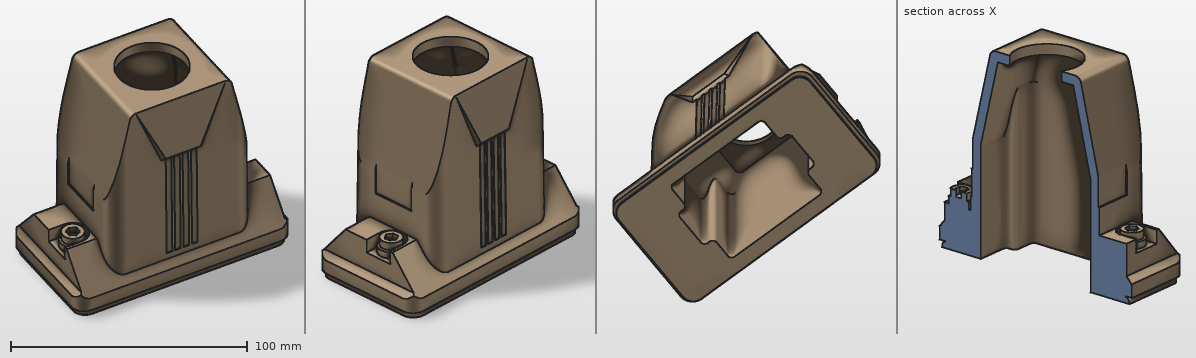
import cadquery as cq
import math

LENGTH = 105.0
WIDTH = 57.0
HEIGHT = 96.8

LIP_LENGTH = 102.3
LIP_WIDTH = 54.8
LIP_HEIGHT = 3.1
LIP_ROUND = 2.3
LIP_CORNER_RADIUS = 5.7

FLANGE_CORNER_RADIUS = 6.3
FLANGE_SIDE_TOP = 9.7
ROOF_TOP = 27.3
ROOF_TOP_WIDTH = 27.5
END_CHAMFER_BOTTOM = 9.5
END_CHAMFER_TOP = 12.5
ROOF_LENGTH = 99.5

HOOD_LENGTH = 70.0
HOOD_TOP_WIDTH = 48.2
SIDE_DRAFT_ANGLE = 1.0
SIDE_DRAFT = math.tan(math.radians(SIDE_DRAFT_ANGLE))
HOOD_BASE = 6.3
HOOD_CORNER_RADIUS = 7.3
SLOPE_START = 51.0
SLOPE_TOP_LENGTH = 48.7
TOP_EDGE_RADIUS = 3.6

ENTRY_DIAMETER = 32.0
TOP_WALL = 4.9
CAVITY_WIDTH = 42.0
CAVITY_TOP_LENGTH = 40.9
CAVITY_CORNER_RADIUS = 2.1
COLUMN_TOP = 73.5
COLUMN_GAP = 18.3

LABEL_WIDTH = 21.2
LABEL_BOTTOM = 40.0
LABEL_TOP = 57.7
LABEL_DEPTH = 0.6

WEDGE_TOP = 95.6
WEDGE_TOP_HALF = 21.6
WEDGE_TIP = 68.2
WEDGE_TIP_HALF = 8.5
WEDGE_TIP_X = 26.1
WEDGE_UNDERCUT = 2.1
WEDGE_FLARE = 1.8
GROOVE_COUNT = 4
GROOVE_WIDTH = 2.7
GROOVE_ROW_WIDTH = 15.1
GROOVE_PITCH = (GROOVE_ROW_WIDTH - GROOVE_WIDTH) / (GROOVE_COUNT - 1)
GROOVE_BOTTOM = 16.3
GROOVE_DEPTH = 0.4

SCREW_X = 5.5
SCREW_Y = -41.9
SEAT_WIDTH = 13.8
SEAT_FLOOR = 21.0
COLLAR_DIAMETER = 12.1
COLLAR_TOP = 24.6
COLLAR_CONE_HEIGHT = 0.4
HEAD_DIAMETER = 10.1
HEAD_TOP = 28.1
SOCKET_FLATS = 5.1
SOCKET_DEPTH = 3.1


def hood_half_width(z):
    """Half width of the drafted hood at height z."""
    return HOOD_TOP_WIDTH / 2 + (HEIGHT - z) * SIDE_DRAFT


def end_profile(points, width):
    """Mirror (y, z) points about Y = 0 and extrude the outline across X."""
    mirrored = [(-y, z) for y, z in reversed(points)]
    return cq.Workplane("YZ").polyline(points + mirrored).close().extrude(width / 2, both=True)


def side_profile(points, length):
    """Mirror (x, z) points about X = 0 and extrude the outline along Y."""
    mirrored = [(-x, z) for x, z in reversed(points)]
    return cq.Workplane("XZ").polyline(points + mirrored).close().extrude(length / 2, both=True)


def half_turn(shape):
    """Copy a shape to the opposite side, turned about the Z axis."""
    return shape.rotate((0, 0, 0), (0, 0, 1), 180)


def make_lip():
    lip = cq.Workplane("XY").rect(LIP_WIDTH, LIP_LENGTH).extrude(LIP_HEIGHT)
    lip = lip.edges("|Z").fillet(LIP_CORNER_RADIUS)
    return lip.faces(">Z").edges().fillet(LIP_ROUND)


def make_flange():
    footprint = (
        cq.Workplane("XY", origin=(0, 0, LIP_HEIGHT))
        .rect(WIDTH, LENGTH)
        .extrude(ROOF_TOP - LIP_HEIGHT)
        .edges("|Z")
        .fillet(FLANGE_CORNER_RADIUS)
    )
    roof = side_profile(
        [
            (WIDTH / 2, LIP_HEIGHT),
            (WIDTH / 2, FLANGE_SIDE_TOP),
            (ROOF_TOP_WIDTH / 2, ROOF_TOP),
        ],
        LENGTH,
    )
    stepped_ends = end_profile(
        [
            (LENGTH / 2, LIP_HEIGHT),
            (LENGTH / 2, END_CHAMFER_BOTTOM),
            (ROOF_LENGTH / 2, END_CHAMFER_TOP),
            (ROOF_LENGTH / 2, ROOF_TOP),
        ],
        WIDTH,
    )
    return footprint.intersect(roof).intersect(stepped_ends)


def make_screw_seat():
    """Round-ended slot that runs out through the end of the roof."""
    depth = ROOF_TOP - SEAT_FLOOR
    run_out = LENGTH / 2 + SCREW_Y
    plane = cq.Workplane("XY", origin=(SCREW_X, SCREW_Y, SEAT_FLOOR))
    round_end = plane.circle(SEAT_WIDTH / 2).extrude(depth)
    channel = plane.center(0, -run_out / 2).rect(SEAT_WIDTH, run_out).extrude(depth)
    return round_end.union(channel)


def make_screw():
    """Socket-head screw standing on a collar with a slightly conical top."""
    cone_base = COLLAR_TOP - COLLAR_CONE_HEIGHT
    screw = (
        cq.Workplane("XZ")
        .moveTo(0, SEAT_FLOOR)
        .lineTo(COLLAR_DIAMETER / 2, SEAT_FLOOR)
        .lineTo(COLLAR_DIAMETER / 2, cone_base)
        .lineTo(HEAD_DIAMETER / 2, COLLAR_TOP)
        .lineTo(HEAD_DIAMETER / 2, HEAD_TOP)
        .lineTo(0, HEAD_TOP)
        .close()
        .revolve(360, (0, 0, 0), (0, 1, 0))
    )
    socket_corners = SOCKET_FLATS / math.cos(math.radians(30))
    socket = (
        cq.Workplane("XY", origin=(0, 0, HEAD_TOP - SOCKET_DEPTH))
        .polygon(6, socket_corners)
        .extrude(SOCKET_DEPTH)
    )
    return screw.cut(socket).translate((SCREW_X, SCREW_Y, 0))


def make_hood():
    hood = side_profile(
        [
            (hood_half_width(HOOD_BASE), HOOD_BASE),
            (hood_half_width(HEIGHT), HEIGHT),
        ],
        HOOD_LENGTH,
    )
    upright_edges = hood.faces("<Y or >Y").edges("not |X")
    hood = upright_edges.fillet(HOOD_CORNER_RADIUS)
    envelope = end_profile(
        [
            (HOOD_LENGTH / 2, HOOD_BASE),
            (HOOD_LENGTH / 2, SLOPE_START),
            (SLOPE_TOP_LENGTH / 2, HEIGHT),
        ],
        WIDTH,
    )
    envelope = envelope.faces(">Z").edges("|X").fillet(TOP_EDGE_RADIUS)
    return hood.intersect(envelope)


def make_label_recess():
    """Flat recess on the -Y end that runs out upward through the sloped face."""
    corner = cq.Workplane("XY", origin=(0, -HOOD_LENGTH / 2, LABEL_BOTTOM))
    height = LABEL_TOP - LABEL_BOTTOM
    return corner.box(LABEL_WIDTH, LABEL_DEPTH, height, centered=(True, False, False))


def make_grooves():
    """Shallow vertical grooves on the +X side, parallel to the drafted face."""
    floor_bottom = hood_half_width(GROOVE_BOTTOM) - GROOVE_DEPTH
    floor_top = hood_half_width(WEDGE_TIP) - GROOVE_DEPTH
    section = [
        (floor_bottom, GROOVE_BOTTOM),
        (WIDTH / 2, GROOVE_BOTTOM),
        (WIDTH / 2, WEDGE_TIP),
        (floor_top, WEDGE_TIP),
    ]
    groove = cq.Workplane("XZ").polyline(section).close().extrude(GROOVE_WIDTH / 2, both=True)
    grooves = cq.Workplane("XY")
    for index in range(GROOVE_COUNT):
        y = (index - (GROOVE_COUNT - 1) / 2) * GROOVE_PITCH
        grooves = grooves.union(groove.translate((0, y, 0)))
    return grooves


def make_wedge():
    """Grip wedge on the +X side: flush at its top, with an undercut rim sunk into the wall."""
    root_x = WEDGE_TIP_X - WEDGE_UNDERCUT
    root_z = WEDGE_TIP - WEDGE_UNDERCUT
    root_half = WEDGE_TIP_HALF + WEDGE_FLARE
    top = [(hood_half_width(WEDGE_TOP), side * WEDGE_TOP_HALF, WEDGE_TOP) for side in (-1, 1)]
    tip = [(WEDGE_TIP_X, side * WEDGE_TIP_HALF, WEDGE_TIP) for side in (-1, 1)]
    root = [(root_x, side * root_half, root_z) for side in (-1, 1)]
    outlines = [
        [top[0], top[1], tip[1], tip[0]],
        [tip[0], tip[1], root[1], root[0]],
        [top[0], top[1], root[1], root[0]],
        [top[0], tip[0], root[0]],
        [top[1], tip[1], root[1]],
    ]
    faces = []
    for outline in outlines:
        wire = cq.Wire.makePolygon([cq.Vector(*point) for point in outline], close=True)
        faces.append(cq.Face.makeFromWires(wire))
    return cq.Workplane(cq.Solid.makeSolid(cq.Shell.makeShell(faces)))


def cavity_half_length(z):
    """Half length of the cavity between its sloped ends, which run parallel to the hood ends."""
    slope = (HOOD_LENGTH - SLOPE_TOP_LENGTH) / 2 / (HEIGHT - SLOPE_START)
    return CAVITY_TOP_LENGTH / 2 + (HEIGHT - TOP_WALL - z) * slope


def make_cavity():
    """Open-bottomed cavity narrowed by a column in each corner, with a round entry on top."""
    ceiling = HEIGHT - TOP_WALL
    column_face = cavity_half_length(COLUMN_TOP)
    pocket_face = cavity_half_length(SLOPE_START)

    chamber = end_profile(
        [(column_face, 0), (column_face, COLUMN_TOP), (CAVITY_TOP_LENGTH / 2, ceiling)],
        CAVITY_WIDTH,
    )
    corner_edges = chamber.faces("<X or >X").edges("not |Y")
    chamber = corner_edges.fillet(CAVITY_CORNER_RADIUS)

    pockets = (
        cq.Workplane("XY")
        .rect(CAVITY_WIDTH, 2 * column_face)
        .extrude(COLUMN_TOP)
        .union(cq.Workplane("XY").rect(COLUMN_GAP, 2 * pocket_face).extrude(COLUMN_TOP))
        .edges("|Z")
        .fillet(CAVITY_CORNER_RADIUS)
    )
    sloped_ends = end_profile(
        [(pocket_face, 0), (pocket_face, SLOPE_START), (column_face, COLUMN_TOP)],
        CAVITY_WIDTH,
    )
    pockets = pockets.intersect(sloped_ends)

    entry = cq.Workplane("XY").circle(ENTRY_DIAMETER / 2).extrude(HEIGHT)
    return chamber.union(pockets).union(entry)


screw_seat = make_screw_seat()
flange = make_flange().cut(screw_seat).cut(half_turn(screw_seat))

label_recess = make_label_recess()
grooves = make_grooves()
wedge = make_wedge()
hood = make_hood()
for cutter in (label_recess, grooves):
    hood = hood.cut(cutter).cut(half_turn(cutter))
hood = hood.union(wedge).union(half_turn(wedge))

screw = make_screw()
result = make_lip().union(flange).union(hood).cut(make_cavity())
result = result.union(screw).union(half_turn(screw))